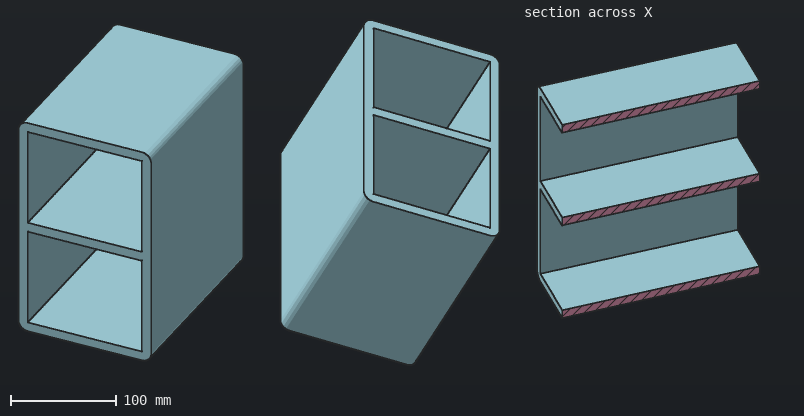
import cadquery as cq

width = 140.5
depth = 200.0
height = 232.0

wall = 10.0
corner_radius = 10.0

cell_width = width - 2 * wall
cell_height = (height - 3 * wall) / 2
cell_offset = (cell_height + wall) / 2

body = cq.Workplane("XY").box(width, depth, height).edges("|Y").fillet(corner_radius)

cells = (
    cq.Workplane("XY")
    .pushPoints([(0, 0, -cell_offset), (0, 0, cell_offset)])
    .box(cell_width, depth, cell_height)
)

result = body.cut(cells)